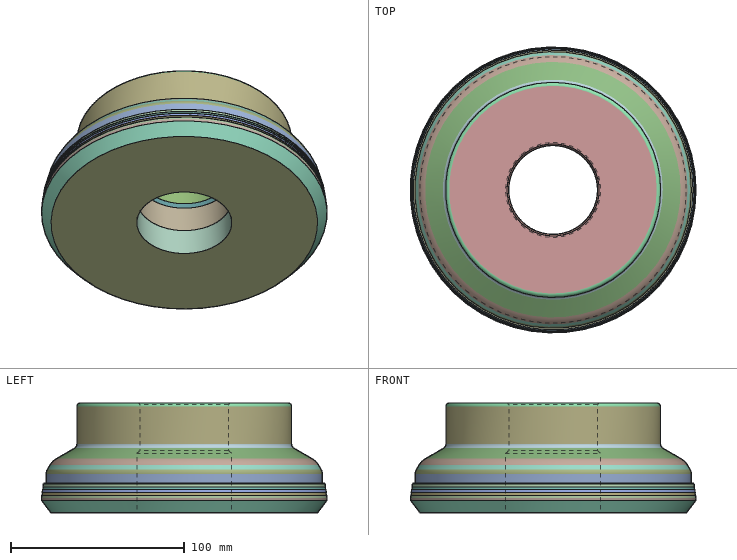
import cadquery as cq
import math

total_height = 63.5
outer_radius = 82.5

ring_height = 17.3
ring_top_radius = 81.3
ring_foot_radius = 76.9
bevel_height = 7.1
rim_height = 8.4
rim_radius = 82.3
ring_edge_chamfer = 0.7
groove_depth = 0.2
groove_width = 1.5
groove_tops = [15.0, 11.7]

neck_radius = 62.0
neck_top_fillet = 2.1
neck_bottom_height = 39.8
neck_root_radius = 2.8
upper_slope = math.radians(30)
lower_slope = math.radians(60)
vertical = math.radians(90)
upper_cone_drop = 6.0
shoulder_radius = 10.9
lower_cone_drop = 2.5
skirt_rounding = 5.0

bore_radius = 25.5
bore_chamfer = 1.0
lower_bore_radius = 27.4
bore_step_height = 36.1


def rounding_step(radius, start, end, side):
    """Mid and end offsets of an arc turning between two slopes; side is +1 convex, -1 concave."""
    def offset(angle):
        dr = side * radius * (math.sin(angle) - math.sin(start))
        dz = side * radius * (math.cos(angle) - math.cos(start))
        return dr, dz
    return offset((start + end) / 2), offset(end)


def shifted(point, offset):
    """Point moved by a radial and a vertical offset."""
    return point[0] + offset[0], point[1] + offset[1]


def revolved(profile):
    """Solid swept by a radius-height profile turning fully about the Z axis."""
    return profile.close().revolve(360, (0, 0, 0), (0, 1, 0))


def cone_step(drop, slope):
    """Offset from the top to the bottom of a cone with the given drop and slope from horizontal."""
    return drop / math.tan(slope), -drop


def make_housing():
    """Flared housing: neck, two tangent cones and a straight skirt, with a stepped bore."""
    neck_foot = (neck_radius, neck_bottom_height)

    mid, end = rounding_step(neck_root_radius, vertical, upper_slope, -1)
    root_mid = shifted(neck_foot, mid)
    root_end = shifted(neck_foot, end)
    upper_cone_end = shifted(root_end, cone_step(upper_cone_drop, upper_slope))

    mid, end = rounding_step(shoulder_radius, upper_slope, lower_slope, 1)
    shoulder_mid = shifted(upper_cone_end, mid)
    shoulder_end = shifted(upper_cone_end, end)
    lower_cone_end = shifted(shoulder_end, cone_step(lower_cone_drop, lower_slope))

    mid, end = rounding_step(skirt_rounding, lower_slope, vertical, 1)
    skirt_mid = shifted(lower_cone_end, mid)
    skirt_top = shifted(lower_cone_end, end)

    fillet_start = (neck_radius - neck_top_fillet, total_height)
    mid, end = rounding_step(neck_top_fillet, 0, vertical, 1)
    flare_height = bore_step_height - (lower_bore_radius - bore_radius)

    profile = (
        cq.Workplane("XZ")
        .moveTo(bore_radius + bore_chamfer, total_height)
        .lineTo(*fillet_start)
        .threePointArc(shifted(fillet_start, mid), shifted(fillet_start, end))
        .lineTo(*neck_foot)
        .threePointArc(root_mid, root_end)
        .lineTo(*upper_cone_end)
        .threePointArc(shoulder_mid, shoulder_end)
        .lineTo(*lower_cone_end)
        .threePointArc(skirt_mid, skirt_top)
        .lineTo(skirt_top[0], ring_height)
        .lineTo(lower_bore_radius, ring_height)
        .lineTo(lower_bore_radius, flare_height)
        .lineTo(bore_radius, bore_step_height)
        .lineTo(bore_radius, total_height - bore_chamfer)
    )
    return revolved(profile)


def ring_side_radius(height):
    """Radius of the slightly tapered side of the ring at a given height."""
    share = (ring_height - height) / (ring_height - rim_height)
    return ring_top_radius + share * (outer_radius - ring_top_radius)


def make_base_ring():
    """Base ring with a tapered, grooved side and a conical underside."""
    chamfer_foot = ring_height - ring_edge_chamfer
    points = [
        (lower_bore_radius, 0),
        (lower_bore_radius, ring_height),
        (ring_top_radius - ring_edge_chamfer, ring_height),
        (ring_side_radius(chamfer_foot), chamfer_foot),
    ]
    for top in groove_tops:
        bottom = top - groove_width
        points += [
            (ring_side_radius(top), top),
            (ring_side_radius(top) - groove_depth, top),
            (ring_side_radius(bottom) - groove_depth, bottom),
            (ring_side_radius(bottom), bottom),
        ]
    points += [
        (outer_radius, rim_height),
        (rim_radius, bevel_height),
        (ring_foot_radius, 0),
    ]
    return revolved(cq.Workplane("XZ").polyline(points))


housing = make_housing()
base_ring = make_base_ring()

result = cq.Compound.makeCompound([housing.val(), base_ring.val()])